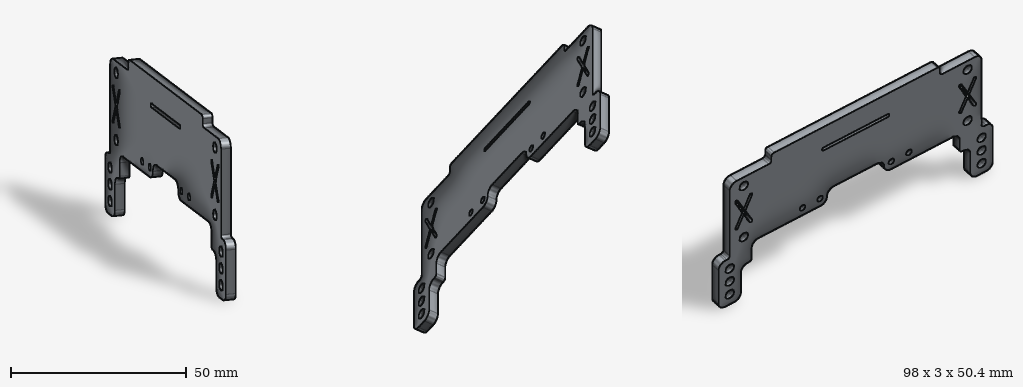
import cadquery as cq
import math

width = 98.0
thickness = 3.0
height = 50.4
half_width = width / 2

arm_width = 8.0
arm_inner = half_width - arm_width
arm_center = half_width - arm_width / 2
body_half_width = arm_center
leg_inner = 37.1
tab_half_width = 30.1
notch_half_width = 10.2

shoulder_z = 46.9
notch_top_z = 25.1
body_bottom_z = 20.1
arm_top_z = 18.0
leg_bottom_z = 12.6

small_radius = 1.0
large_radius = 2.45

mount_diameter = 3.0
arm_mount_count = 3
mount_pitch = 5.0
lowest_mount_z = 4.0
body_mount_inset = 5.0
body_mount_x = body_half_width - body_mount_inset
upper_mount_z = 43.5
lower_mount_z = 23.5
pin_diameter = 2.0
pin_outer_x = 19.0
pin_inner_x = 12.7
pin_z = 23.0

strap_slot_length = 24.0
strap_slot_width = 1.2
strap_slot_z = 41.7
cross_slot_width = 1.0
cross_half_span_x = 2.5
cross_half_span_z = 5.1
cross_z = (upper_mount_z + lower_mount_z) / 2


def front_plane():
    """Sketch plane on the middle of the thickness, with local axes X and Z."""
    return cq.Workplane("XZ")


def cutter(sketch):
    """Extrude closed profiles through the full thickness."""
    return sketch.extrude(thickness / 2, both=True)


def make_plate():
    corners = [
        (0, height, 0),
        (tab_half_width, height, small_radius),
        (tab_half_width, shoulder_z, small_radius),
        (body_half_width, shoulder_z, large_radius),
        (body_half_width, arm_top_z, small_radius),
        (half_width, arm_top_z, large_radius),
        (half_width, 0, large_radius),
        (arm_inner, 0, large_radius),
        (arm_inner, leg_bottom_z, large_radius),
        (leg_inner, leg_bottom_z, small_radius),
        (leg_inner, body_bottom_z, large_radius),
        (notch_half_width, body_bottom_z, large_radius),
        (notch_half_width, notch_top_z, large_radius),
        (0, notch_top_z, 0),
    ]
    half = cutter(front_plane().polyline([(x, z) for x, z, _ in corners]).close())
    for x, z, radius in corners:
        if radius > 0:
            half = half.edges(cq.selectors.NearestToPointSelector((x, 0, z))).fillet(radius)
    return half.union(half.mirror("YZ")).clean()


def make_round_holes():
    mounts = []
    pins = []
    for side in (-1, 1):
        mounts += [(side * arm_center, lowest_mount_z + i * mount_pitch) for i in range(arm_mount_count)]
        mounts += [(side * body_mount_x, z) for z in (upper_mount_z, lower_mount_z)]
        pins += [(side * x, pin_z) for x in (pin_outer_x, pin_inner_x)]
    mount_holes = cutter(front_plane().pushPoints(mounts).circle(mount_diameter / 2))
    pin_holes = cutter(front_plane().pushPoints(pins).circle(pin_diameter / 2))
    return mount_holes.union(pin_holes)


def make_strap_slot():
    return cutter(front_plane().center(0, strap_slot_z).slot2D(strap_slot_length, strap_slot_width))


def make_cross(center_x):
    """Two round-ended slots crossing in an X."""
    length = 2 * math.hypot(cross_half_span_x, cross_half_span_z) + cross_slot_width
    angle = math.degrees(math.atan2(cross_half_span_z, cross_half_span_x))
    center = front_plane().center(center_x, cross_z)
    rising = cutter(center.slot2D(length, cross_slot_width, angle))
    falling = cutter(center.slot2D(length, cross_slot_width, -angle))
    return rising.union(falling)


result = make_plate().cut(make_round_holes()).cut(make_strap_slot())
for side in (-1, 1):
    result = result.cut(make_cross(side * body_mount_x))